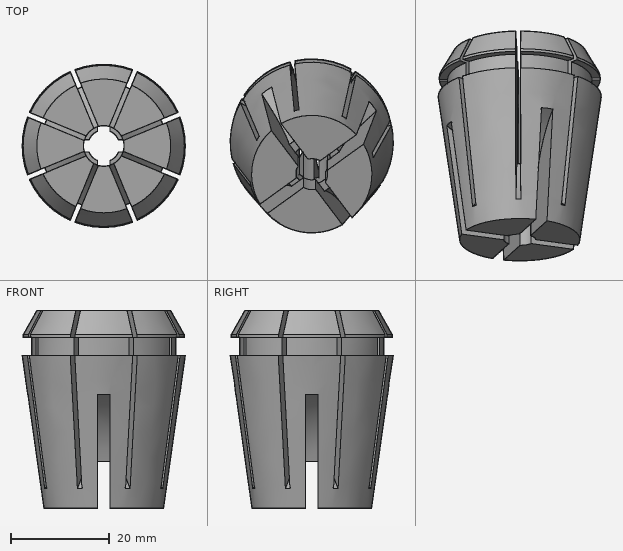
import cadquery as cq
import math

height = 40.0
shoulder_diameter = 33.0
shoulder_radius = shoulder_diameter / 2
shoulder_z = 30.9
body_taper = 8.0

groove_radius = 14.6
rim_radius = 16.3
rim_bottom_z = 34.55
rim_top_z = 35.1
nose_radius = 13.5

bore_radius = 4.1
throat_radius = 3.2
throat_top_z = 9.45

narrow_slot_count = 8
narrow_slot_width = 1.0
narrow_slot_exit_z = 4.0
narrow_floor_radius = 41.6
narrow_exit_slope = 42.0

wide_slot_count = 4
wide_slot_width = 2.45
wide_slot_exit_z = 23.0
wide_ceiling_radius = 20.0
wide_exit_slope = 31.0

cutter_reach = 20.0


def body_radius(z):
    """Radius of the conical body at height z."""
    return shoulder_radius - (shoulder_z - z) * math.tan(math.radians(body_taper))


def make_body():
    profile = [
        (0, 0),
        (body_radius(0), 0),
        (shoulder_radius, shoulder_z),
        (groove_radius, shoulder_z),
        (groove_radius, rim_bottom_z),
        (rim_radius, rim_bottom_z),
        (rim_radius, rim_top_z),
        (nose_radius, height),
        (0, height),
    ]
    return cq.Workplane("XZ").polyline(profile).close().revolve(360, (0, 0, 0), (0, 1, 0))


def make_bore():
    throat = cq.Workplane("XY").circle(throat_radius).extrude(throat_top_z)
    bore = cq.Workplane("XY", origin=(0, 0, throat_top_z)).circle(bore_radius).extrude(height - throat_top_z)
    return throat.union(bore)


def make_narrow_slot():
    """Radial cutter along +X; its floor is a concave arc from the bore down to the body cone."""
    exit_radius = body_radius(narrow_slot_exit_z)
    exit_angle = math.radians(narrow_exit_slope)
    center_x = exit_radius + narrow_floor_radius * math.sin(exit_angle)
    center_z = narrow_slot_exit_z + narrow_floor_radius * math.cos(exit_angle)

    def floor_point(x):
        return x, center_z - math.sqrt(narrow_floor_radius**2 - (center_x - x) ** 2)

    inner_point = floor_point(bore_radius)
    middle_point = floor_point((bore_radius + exit_radius) / 2)
    return (
        cq.Workplane("XZ")
        .moveTo(0, height)
        .lineTo(0, inner_point[1])
        .lineTo(*inner_point)
        .threePointArc(middle_point, (exit_radius, narrow_slot_exit_z))
        .lineTo(cutter_reach, narrow_slot_exit_z)
        .lineTo(cutter_reach, height)
        .close()
        .extrude(narrow_slot_width / 2, both=True)
    )


def make_wide_slot():
    """Radial cutter along +X; its ceiling is flat at the throat, then an arc up to the body cone."""
    exit_radius = body_radius(wide_slot_exit_z)
    exit_angle = math.radians(wide_exit_slope)
    center_x = exit_radius + wide_ceiling_radius * math.sin(exit_angle)
    center_z = wide_slot_exit_z - wide_ceiling_radius * math.cos(exit_angle)

    def ceiling_point(z):
        return center_x - math.sqrt(wide_ceiling_radius**2 - (z - center_z) ** 2), z

    inner_point = ceiling_point(throat_top_z)
    middle_point = ceiling_point((throat_top_z + wide_slot_exit_z) / 2)
    return (
        cq.Workplane("XZ")
        .lineTo(0, throat_top_z)
        .lineTo(*inner_point)
        .threePointArc(middle_point, (exit_radius, wide_slot_exit_z))
        .lineTo(cutter_reach, wide_slot_exit_z)
        .lineTo(cutter_reach, 0)
        .close()
        .extrude(wide_slot_width / 2, both=True)
    )


def cut_around_axis(part, cutter, count, start_angle):
    step = 360 / count
    for index in range(count):
        part = part.cut(cutter.rotate((0, 0, 0), (0, 0, 1), start_angle + index * step))
    return part


result = make_body().cut(make_bore())
result = cut_around_axis(result, make_narrow_slot(), narrow_slot_count, 180 / narrow_slot_count)
result = cut_around_axis(result, make_wide_slot(), wide_slot_count, 0)